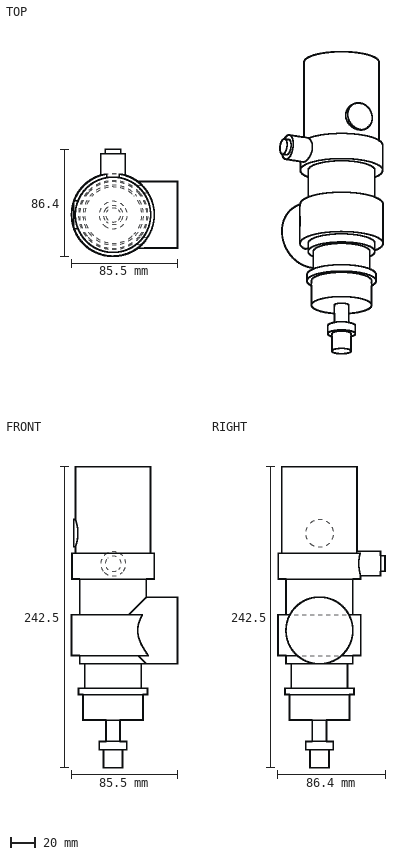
import cadquery as cq

BODY_RADIUS = 27.0
BODY_BOTTOM = 83.7
COLLAR_BOTTOM = 151.8
COLLAR_TOP = 173.0
TOTAL_HEIGHT = 242.5
BODY_SECTIONS = [
    (7.8, 14.5),
    (11.2, 21.3),
    (5.8, 38.5),
    (24.2, 59.0),
    (28.0, 64.3),
    (22.8, BODY_BOTTOM),
    (BODY_RADIUS, 90.5),
    (33.5, 123.5),
    (BODY_RADIUS, COLLAR_BOTTOM),
    (33.2, COLLAR_TOP),
    (30.3, TOTAL_HEIGHT),
]

PORT_RADIUS = BODY_RADIUS
PORT_HEIGHT = BODY_BOTTOM + PORT_RADIUS
PORT_REACH = 52.0

CONNECTOR_RADIUS = 10.0
CONNECTOR_REACH = 49.2
CONNECTOR_TIP_RADIUS = 6.3
CONNECTOR_TIP_REACH = 52.9
CONNECTOR_HEIGHT = 164.5

BUTTON_RADIUS = 11.2
BUTTON_REACH = 31.8
BUTTON_HEIGHT = 189.0


def turned_body():
    """Revolve the stepped outline about the Z axis."""
    outline = cq.Workplane("XZ").moveTo(0, 0)
    for radius, top in BODY_SECTIONS:
        outline = outline.hLineTo(radius).vLineTo(top)
    return outline.hLineTo(0).close().revolve(360, (0, 0, 0), (0, 1, 0))


def radial_cylinder(direction, radius, reach, height):
    """Cylinder running outward from the Z axis at the given height."""
    start = cq.Vector(0, 0, height)
    return cq.Workplane(cq.Solid.makeCylinder(radius, reach, start, cq.Vector(*direction)))


port = radial_cylinder((1, 0, 0), PORT_RADIUS, PORT_REACH, PORT_HEIGHT)
connector = radial_cylinder((0, 1, 0), CONNECTOR_RADIUS, CONNECTOR_REACH, CONNECTOR_HEIGHT)
connector_tip = radial_cylinder((0, 1, 0), CONNECTOR_TIP_RADIUS, CONNECTOR_TIP_REACH, CONNECTOR_HEIGHT)
button = radial_cylinder((-1, 0, 0), BUTTON_RADIUS, BUTTON_REACH, BUTTON_HEIGHT)

result = turned_body().union(port).union(connector).union(connector_tip).union(button)